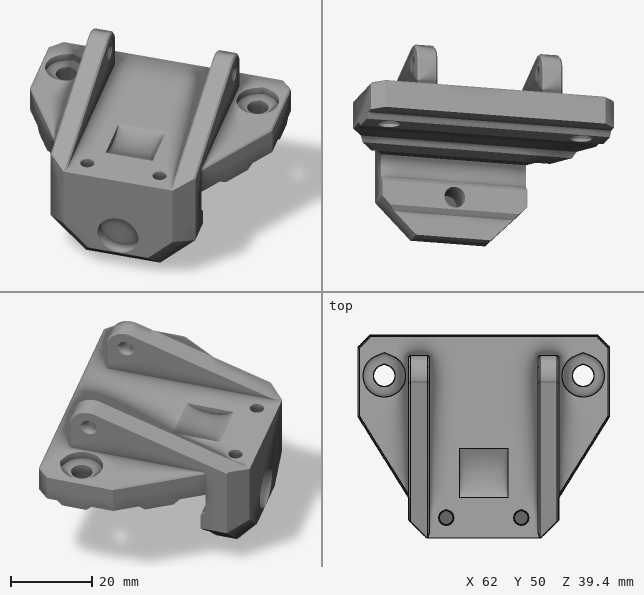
import cadquery as cq
import math


PLATE_WIDTH = 62.0
PLATE_BACK = 50.0
PLATE_THICKNESS = 7.0
PLATE_CORNER = 3.0
WING_FRONT = 30.0
EDGE_CHAMFER = 0.4

LEG_WIDTH = 37.0
LEG_THICKNESS = 10.0
LEG_DEPTH = 27.0
LEG_CORNER = 9.0
LEG_FRONT_CHAMFER = 4.5

EAR_THICKNESS = 5.15
EAR_CHAMFER = 0.45
EAR_RADIUS = 5.0
PIVOT_Y = 40.0
PIVOT_Z = 7.4
PIVOT_DIAMETER = 3.2
PIVOT_CHAMFER = 0.45
EAR_TOP = PIVOT_Z + EAR_RADIUS

RIB_HEIGHT = 1.3
RIB_CREST = 6.2
RIB_Y_POSITIONS = (20.0, PIVOT_Y)

SCREW_DIAMETER = 5.3
SCREW_HEAD_DIAMETER = 10.5
PLATE_SCREW_X = 24.5
PLATE_HEAD_DEPTH = 2.0
LEG_SCREW_Z = -17.0
LEG_HEAD_DEPTH = 3.0
LEG_MEMBRANE = 0.2

PIN_DIAMETER = 3.35
PIN_CHAMFER = 0.2
PIN_DEPTH = 10.0
PIN_X = 9.25
PIN_Y = 5.0

SADDLE_WIDTH = 12.0
SADDLE_RADIUS = 10.0
SADDLE_Y = 16.05

ROOF_ANGLE = math.radians(22.5)
SIDES = (-1, 1)


def peaked_cylinder(diameter, height, taper=0):
    """Cylinder along Z whose +Y side rises to a shallow peak; a taper narrows it away from Z = 0."""
    radius = diameter / 2
    tangent_x = radius * math.sin(ROOF_ANGLE)
    tangent_y = radius * math.cos(ROOF_ANGLE)
    return (
        cq.Workplane("XY")
        .moveTo(-tangent_x, tangent_y)
        .threePointArc((0, -radius), (tangent_x, tangent_y))
        .lineTo(0, radius / math.cos(ROOF_ANGLE))
        .close()
        .extrude(height, taper=taper)
    )


def plate_prism(thickness):
    half = PLATE_WIDTH / 2
    outline = [
        (-LEG_WIDTH / 2, LEG_THICKNESS),
        (-half, WING_FRONT),
        (-half, PLATE_BACK - PLATE_CORNER),
        (-half + PLATE_CORNER, PLATE_BACK),
        (half - PLATE_CORNER, PLATE_BACK),
        (half, PLATE_BACK - PLATE_CORNER),
        (half, WING_FRONT),
        (LEG_WIDTH / 2, LEG_THICKNESS),
    ]
    return cq.Workplane("XY").polyline(outline).close().extrude(-thickness)


def make_plate():
    plate = plate_prism(PLATE_THICKNESS).faces(">Z").edges("not <Y").chamfer(EDGE_CHAMFER)
    rib_limits = plate_prism(PLATE_THICKNESS + RIB_HEIGHT)
    for y in RIB_Y_POSITIONS:
        rib = make_rib().translate((0, y, -PLATE_THICKNESS))
        plate = plate.union(rib.intersect(rib_limits))
    return plate


def make_rib():
    """Trapezoidal bar along X with its base at Z = 0 and its crest below."""
    crest = RIB_CREST / 2
    base = crest + RIB_HEIGHT
    return (
        cq.Workplane("YZ")
        .polyline([(-base, 0), (-crest, -RIB_HEIGHT), (crest, -RIB_HEIGHT), (base, 0)])
        .close()
        .extrude(PLATE_WIDTH / 2, both=True)
    )


def make_leg():
    leg = (
        cq.Workplane("XY")
        .box(LEG_WIDTH, LEG_THICKNESS, LEG_DEPTH, centered=(True, False, False))
        .translate((0, 0, -LEG_DEPTH))
    )
    rib = make_rib().rotate((0, 0, 0), (1, 0, 0), 90)
    return leg.union(rib.translate((0, LEG_THICKNESS, LEG_SCREW_Z)))


def make_ear(side):
    """Upright ear, highest around the pivot and sloping down to the front edge of the leg."""
    reach = math.hypot(PIVOT_Y, PIVOT_Z)
    slope = math.atan2(PIVOT_Z, PIVOT_Y) + math.asin(EAR_RADIUS / reach)
    tangent_length = math.sqrt(reach**2 - EAR_RADIUS**2)
    back = PIVOT_Y + EAR_RADIUS
    mid_angle = (math.pi / 2 + slope) / 2
    ear = (
        cq.Workplane("YZ")
        .moveTo(0, -PLATE_THICKNESS)
        .lineTo(0, 0)
        .lineTo(tangent_length * math.cos(slope), tangent_length * math.sin(slope))
        .threePointArc(
            (PIVOT_Y + EAR_RADIUS * math.cos(mid_angle), PIVOT_Z + EAR_RADIUS * math.sin(mid_angle)),
            (back, PIVOT_Z),
        )
        .lineTo(back, -PLATE_THICKNESS)
        .close()
        .extrude(EAR_THICKNESS)
    )
    ear = ear.faces("<X or >X").edges("not(<Y or <Z)").chamfer(EAR_CHAMFER)
    ear = ear.cut(pivot_cutter())
    inner = LEG_WIDTH / 2 - EAR_THICKNESS
    return ear.translate((inner if side > 0 else -inner - EAR_THICKNESS, 0, 0))


def pivot_cutter():
    """Through hole along X, peaked towards +Y, with a widened mouth on both faces of the ear."""
    bore = peaked_cylinder(PIVOT_DIAMETER, EAR_THICKNESS)
    mouth_diameter = PIVOT_DIAMETER + 2 * PIVOT_CHAMFER
    near_mouth = peaked_cylinder(mouth_diameter, PIVOT_CHAMFER, taper=45)
    far_mouth = peaked_cylinder(mouth_diameter, -PIVOT_CHAMFER, taper=45)
    cutter = bore.union(near_mouth).union(far_mouth.translate((0, 0, EAR_THICKNESS)))
    return cutter.rotate((0, 0, 0), (0, 1, 0), 90).translate((0, PIVOT_Y, PIVOT_Z))


def make_envelope():
    """Chamfered outline, seen along Y, that trims the leg and the ears together."""
    half = LEG_WIDTH / 2
    blank = (
        cq.Workplane("XZ")
        .polyline([
            (-half, EAR_TOP),
            (-half, LEG_CORNER - LEG_DEPTH),
            (-half + LEG_CORNER, -LEG_DEPTH),
            (half - LEG_CORNER, -LEG_DEPTH),
            (half, LEG_CORNER - LEG_DEPTH),
            (half, EAR_TOP),
        ])
        .close()
        .extrude(-PLATE_BACK)
    )
    return blank.faces("<Y").edges("not >Z").chamfer(LEG_FRONT_CHAMFER)


def plate_screw_cutter():
    hole = peaked_cylinder(SCREW_DIAMETER, -PLATE_THICKNESS - RIB_HEIGHT)
    head = peaked_cylinder(SCREW_HEAD_DIAMETER, -PLATE_HEAD_DEPTH)
    return hole.union(head)


def leg_screw_cutter():
    axis = cq.Workplane("XZ").center(0, LEG_SCREW_Z)
    head = axis.circle(SCREW_HEAD_DIAMETER / 2).extrude(-LEG_HEAD_DEPTH)
    hole_start = LEG_HEAD_DEPTH + LEG_MEMBRANE
    hole_length = LEG_THICKNESS + RIB_HEIGHT - hole_start
    hole = axis.workplane(offset=-hole_start).circle(SCREW_DIAMETER / 2).extrude(-hole_length)
    return head.union(hole)


def pin_cutter():
    bore = peaked_cylinder(PIN_DIAMETER, -PIN_DEPTH)
    mouth = peaked_cylinder(PIN_DIAMETER + 2 * PIN_CHAMFER, -PIN_CHAMFER, taper=45)
    return bore.union(mouth)


def saddle_cutter():
    axis_z = math.sqrt(SADDLE_RADIUS**2 - (SADDLE_WIDTH / 2) ** 2)
    roller = (
        cq.Workplane("YZ").center(SADDLE_Y, axis_z)
        .circle(SADDLE_RADIUS).extrude(SADDLE_WIDTH / 2, both=True)
    )
    opening = cq.Workplane("XY").center(0, SADDLE_Y).rect(SADDLE_WIDTH, SADDLE_WIDTH)
    return roller.intersect(opening.extrude(-SADDLE_RADIUS))


body = make_leg()
for side in SIDES:
    body = body.union(make_ear(side))
body = body.intersect(make_envelope()).union(make_plate())

for side in SIDES:
    body = body.cut(plate_screw_cutter().translate((side * PLATE_SCREW_X, PIVOT_Y, 0)))
    body = body.cut(pin_cutter().translate((side * PIN_X, PIN_Y, 0)))
body = body.cut(leg_screw_cutter())
result = body.cut(saddle_cutter())